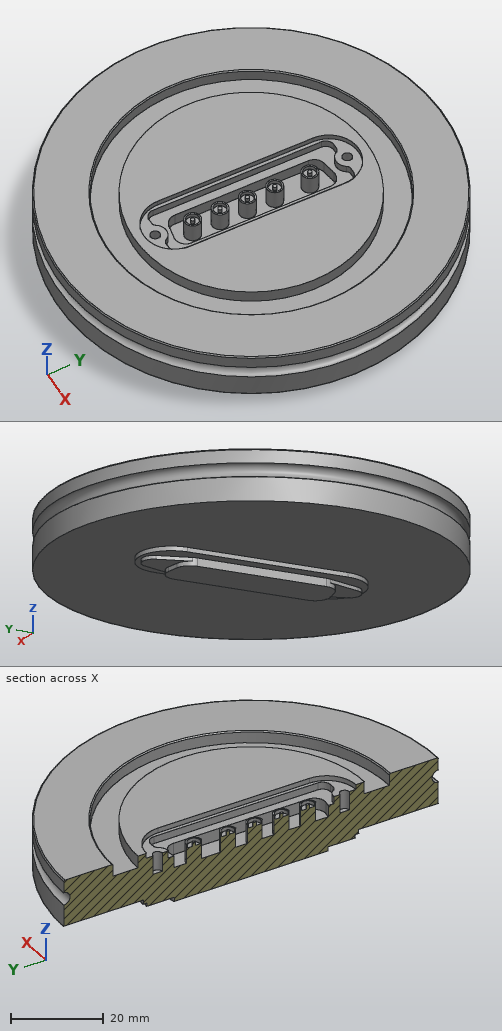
import cadquery as cq
import math

PLATE_RADIUS = 47.5
PLATE_THICKNESS = 12.0
RIM_CHAMFER = 0.3
GROOVE_DIAMETER = 3.1
GROOVE_DEPTH_BELOW_TOP = 4.8

TROUGH_RADIUS = 35.0
PLATEAU_RADIUS = 28.7
TROUGH_DEPTH = 3.0

FLANGE_WIDTH = 15.8
FLANGE_LENGTH = 54.6
FLANGE_HEIGHT = 1.0

TOTAL_HEIGHT = 14.9
EAR_HEIGHT = 0.9
EAR_RADIUS = 2.8
EAR_TAPER_DEGREES = 16.5
EAR_ROOT_OFFSET = 16.7
SCREW_OFFSET = 23.7
SCREW_HOLE_DIAMETER = 2.3
SHELL_WIDTH = 10.2
SHELL_LENGTH = 38.95
SHELL_CORNER_RADIUS = 3.5
END_SLANT_DEGREES = 10.0

SEAT_WIDTH = 14.6
SEAT_LENGTH = 52.9
SEAT_DEPTH = 1.2
TRAY_WIDTH = 12.9
TRAY_LENGTH = 45.5
TRAY_DEPTH = 3.0
TRAY_CORNER_RADIUS = 2.0
TRAY_LOBE_FILLET = 1.1
CONTACT_WIDTH = 8.7
CONTACT_CORNER_RADIUS = 2.7
CONTACT_DEPTH = 6.0

CONTACT_TOP_DEPTH = 1.1
SLEEVE_DIAMETER = 3.9
BORE_DIAMETER = 3.1
BORE_DEPTH = 0.95
PIN_DIAMETER = 0.95
END_CONTACT_OFFSET = 14.4
CONTACT_PITCH = 6.7
CLOSE_CONTACTS = 4

FLANGE_BOTTOM = -PLATE_THICKNESS - FLANGE_HEIGHT
EAR_BOTTOM = FLANGE_BOTTOM - EAR_HEIGHT
SCREW_CENTRES = [(0, SCREW_OFFSET), (0, -SCREW_OFFSET)]


def level(z):
    """Horizontal sketch plane at height z."""
    return cq.Workplane("XY", origin=(0, 0, z))


def bar(width, length, bottom, top):
    """Bar along Y with full-round ends."""
    return level(bottom).slot2D(length, width, 90).extrude(top - bottom)


def d_block(width, length, corner_radius, bottom, top):
    """Block along Y whose slanted ends make the +X side the longer one."""
    half_width = width / 2
    half_length = length / 2
    slant = half_width * math.tan(math.radians(END_SLANT_DEGREES))
    corners = [
        (-half_width, -half_length + slant),
        (half_width, -half_length - slant),
        (half_width, half_length + slant),
        (-half_width, half_length - slant),
    ]
    block = level(bottom).polyline(corners).close().extrude(top - bottom)
    return block.edges("|Z").fillet(corner_radius)


def make_plate():
    plate = level(-PLATE_THICKNESS).circle(PLATE_RADIUS).extrude(PLATE_THICKNESS)
    trough = level(-TROUGH_DEPTH).circle(TROUGH_RADIUS).circle(PLATEAU_RADIUS).extrude(TROUGH_DEPTH)
    plate = plate.cut(trough)
    plate = plate.faces(">Z").edges(cq.selectors.RadiusNthSelector(-1)).chamfer(RIM_CHAMFER)
    plate = plate.faces(">Z").edges(cq.selectors.RadiusNthSelector(-2)).chamfer(RIM_CHAMFER)
    groove = (
        cq.Workplane("XZ")
        .center(PLATE_RADIUS, -GROOVE_DEPTH_BELOW_TOP)
        .circle(GROOVE_DIAMETER / 2)
        .revolve(360, (-PLATE_RADIUS, 0), (-PLATE_RADIUS, 1))
    )
    return plate.cut(groove)


def make_ears():
    """Plate that tapers from the middle towards a rounded nose at each screw hole."""
    taper = math.radians(EAR_TAPER_DEGREES)
    nose_x = EAR_RADIUS * math.cos(taper)
    nose_y = SCREW_OFFSET + EAR_RADIUS * math.sin(taper)
    tip_y = SCREW_OFFSET + EAR_RADIUS
    root_y = EAR_ROOT_OFFSET
    root_x = nose_x + (nose_y - root_y) * math.tan(taper)
    return (
        level(EAR_BOTTOM)
        .moveTo(root_x, -root_y)
        .lineTo(root_x, root_y)
        .lineTo(nose_x, nose_y)
        .threePointArc((0, tip_y), (-nose_x, nose_y))
        .lineTo(-root_x, root_y)
        .lineTo(-root_x, -root_y)
        .lineTo(-nose_x, -nose_y)
        .threePointArc((0, -tip_y), (nose_x, -nose_y))
        .close()
        .extrude(EAR_HEIGHT)
    )


def make_tray():
    """Round-cornered cavity, notched at both ends by a lobe around each screw hole."""
    height = TRAY_DEPTH - SEAT_DEPTH
    tray = level(-TRAY_DEPTH).rect(TRAY_WIDTH, TRAY_LENGTH).extrude(height)
    tray = tray.edges("|Z").fillet(TRAY_CORNER_RADIUS)
    lobes = level(-TRAY_DEPTH).pushPoints(SCREW_CENTRES).circle(EAR_RADIUS).extrude(height)
    lobe_edges = cq.selectors.BoxSelector(
        (-EAR_RADIUS, -TRAY_LENGTH, -TRAY_DEPTH),
        (EAR_RADIUS, TRAY_LENGTH, 0),
    )
    return tray.cut(lobes).edges("|Z").edges(lobe_edges).fillet(TRAY_LOBE_FILLET)


def make_contacts():
    centres = [(0, END_CONTACT_OFFSET)]
    for index in range(CLOSE_CONTACTS):
        centres.append((0, -END_CONTACT_OFFSET + index * CONTACT_PITCH))
    height = CONTACT_DEPTH - CONTACT_TOP_DEPTH
    sleeves = level(-CONTACT_DEPTH).pushPoints(centres).circle(SLEEVE_DIAMETER / 2).extrude(height)
    bores = level(-CONTACT_TOP_DEPTH).pushPoints(centres).circle(BORE_DIAMETER / 2).extrude(-BORE_DEPTH)
    pins = level(-CONTACT_DEPTH).pushPoints(centres).circle(PIN_DIAMETER / 2).extrude(height)
    return sleeves.cut(bores).union(pins)


flange = bar(FLANGE_WIDTH, FLANGE_LENGTH, FLANGE_BOTTOM, -PLATE_THICKNESS)
shell = d_block(SHELL_WIDTH, SHELL_LENGTH, SHELL_CORNER_RADIUS, -TOTAL_HEIGHT, FLANGE_BOTTOM)
seat = bar(SEAT_WIDTH, SEAT_LENGTH, -SEAT_DEPTH, 0)
contact_pocket = d_block(
    CONTACT_WIDTH, SHELL_LENGTH, CONTACT_CORNER_RADIUS, -CONTACT_DEPTH, -SEAT_DEPTH
)
screw_holes = (
    level(-CONTACT_DEPTH)
    .pushPoints(SCREW_CENTRES)
    .circle(SCREW_HOLE_DIAMETER / 2)
    .extrude(CONTACT_DEPTH)
)

result = make_plate().union(flange).union(make_ears()).union(shell)
result = result.cut(seat).cut(make_tray()).cut(contact_pocket).cut(screw_holes)
result = result.union(make_contacts())